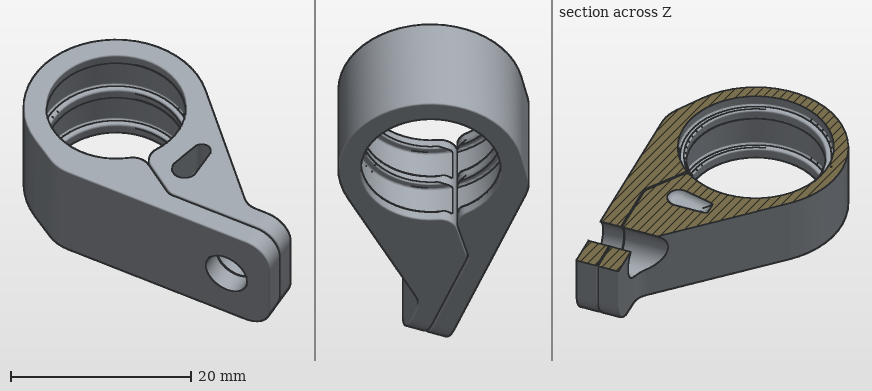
import cadquery as cq
import math

height = 12.7
ring_radius = 10.3
tab_end_x = 25.4
front_y = -11.3
jaw_thickness = 2.5
slit_width = 0.1
edge_fillet = 0.2

front_corner_radius = 5.0
rear_corner_radius = 2.5
rear_slope_angle = 47.0
tab_corner_radius = 3.0

bore_radius = 7.75
groove_radius = 8.65
groove_fillet = 0.25
lip_height = 1.15
rib_height = 0.87
lip_fillet = 0.25

slit_bend_x = 11.4
slit_angle = 35.0
slit_bend_radius = 1.5
slit_overrun = 1.0
mouth_radius = 2.0

screw_diameter = 5.2
screw_x = 19.95

pocket_depth = 5.0
pocket_floor_radius = 0.98
pocket_sweep_radius = 1.7
pocket_wide_radius = 1.4
pocket_wide_center = (11.15, -4.7)
pocket_narrow_radius = 1.0
pocket_narrow_center = (11.55, -1.4)

edge_reach = 0.4

slit_low_y = front_y + jaw_thickness
slit_mid_y = slit_low_y + slit_width / 2
rear_y = slit_low_y + slit_width + jaw_thickness


def polar(radius, degrees, center=(0, 0)):
    """Point at a given radius and angle about a centre."""
    angle = math.radians(degrees)
    return (center[0] + radius * math.cos(angle), center[1] + radius * math.sin(angle))


def upright_edges_near(x, y, reach):
    """Selector for upright edges passing within reach of (x, y) along both X and Y."""
    return cq.selectors.BoxSelector((x - reach, y - reach, 0), (x + reach, y + reach, height))


def make_body():
    """Ring that runs tangentially into the straight clamp tab."""
    corner_center = (0, front_y + front_corner_radius)
    tangent_angle = math.degrees(
        math.acos((ring_radius - front_corner_radius) / -corner_center[1])
    )
    front_normal = -90 - tangent_angle
    rear_normal = 90 - rear_slope_angle
    rear_tangent = polar(ring_radius, rear_normal)
    slope = math.tan(math.radians(rear_slope_angle))
    rear_corner_x = rear_tangent[0] + (rear_tangent[1] - rear_y) / slope
    body = (
        cq.Workplane("XY")
        .moveTo(*rear_tangent)
        .threePointArc((-ring_radius, 0), polar(ring_radius, front_normal))
        .lineTo(*polar(front_corner_radius, front_normal, corner_center))
        .threePointArc(
            polar(front_corner_radius, -90 - tangent_angle / 2, corner_center),
            (0, front_y),
        )
        .lineTo(tab_end_x, front_y)
        .lineTo(tab_end_x, rear_y)
        .lineTo(rear_corner_x, rear_y)
        .close()
        .extrude(height)
    )
    body = body.edges(upright_edges_near(rear_corner_x, rear_y, edge_reach)).fillet(rear_corner_radius)
    return body.faces(">X").edges("|Y").fillet(tab_corner_radius)


def make_slit():
    """Narrow cut from the tab end, bending up into the bore."""
    bend = math.radians(slit_angle)
    tangent_length = slit_bend_radius * math.tan(bend / 2)
    bend_start_x = slit_bend_x + tangent_length
    inner_y = slit_mid_y + slit_bend_radius
    path_end_x = bore_radius * math.sqrt(0.5)
    path_end_y = slit_mid_y + (slit_bend_x - path_end_x) * math.tan(bend)
    arc_center = (bend_start_x, inner_y)
    path = (
        cq.Workplane("XY")
        .moveTo(tab_end_x + slit_overrun, slit_mid_y)
        .lineTo(bend_start_x, slit_mid_y)
        .threePointArc(
            polar(slit_bend_radius, -90 - slit_angle / 2, arc_center),
            polar(slit_bend_radius, -90 - slit_angle, arc_center),
        )
        .lineTo(path_end_x, path_end_y)
    )
    return path.offset2D(slit_width / 2).extrude(height)


def slit_mouth():
    """Point where the angled slit centreline breaks into the bore."""
    bend = math.radians(slit_angle)
    offset = slit_bend_x * math.sin(bend) + slit_mid_y * math.cos(bend)
    return polar(bore_radius, 90 - slit_angle - math.degrees(math.acos(offset / bore_radius)))


def make_groove(bottom, top):
    """Ring cutter with rounded outer corners, flared at the bore to round the lips beside it."""
    flare_radius = bore_radius + lip_fillet
    floor = bottom + lip_fillet
    ceiling = top - lip_fillet
    bulge = lip_fillet * (1 - math.sqrt(0.5))
    ring = (
        cq.Workplane("XY", origin=(0, 0, floor))
        .circle(groove_radius)
        .extrude(ceiling - floor)
        .edges()
        .fillet(groove_fillet)
    )
    flared_core = (
        cq.Workplane("XZ")
        .moveTo(0, bottom)
        .lineTo(bore_radius, bottom)
        .threePointArc((bore_radius + bulge, floor - bulge), (flare_radius, floor))
        .lineTo(flare_radius, ceiling)
        .threePointArc((bore_radius + bulge, ceiling + bulge), (bore_radius, top))
        .lineTo(0, top)
        .close()
        .revolve(360, (0, 0, 0), (0, 1, 0))
    )
    return ring.union(flared_core)


def make_pocket():
    """Teardrop pocket with a rounded floor."""
    dx = pocket_narrow_center[0] - pocket_wide_center[0]
    dy = pocket_narrow_center[1] - pocket_wide_center[1]
    axis = math.degrees(math.atan2(dy, dx))
    spread = math.degrees(
        math.acos((pocket_wide_radius - pocket_narrow_radius) / math.hypot(dx, dy))
    )
    pocket = (
        cq.Workplane("XY", origin=(0, 0, height - pocket_depth))
        .moveTo(*polar(pocket_wide_radius, axis + spread, pocket_wide_center))
        .threePointArc(
            polar(pocket_wide_radius, axis + 180, pocket_wide_center),
            polar(pocket_wide_radius, axis - spread, pocket_wide_center),
        )
        .lineTo(*polar(pocket_narrow_radius, axis - spread, pocket_narrow_center))
        .threePointArc(
            polar(pocket_narrow_radius, axis, pocket_narrow_center),
            polar(pocket_narrow_radius, axis + spread, pocket_narrow_center),
        )
        .close()
        .extrude(pocket_depth)
    )
    pocket = pocket.faces("<Z").edges().fillet(pocket_floor_radius)

    pocket_length = math.hypot(dx, dy) + pocket_narrow_radius + pocket_wide_radius
    tip_y = pocket_narrow_center[1] + pocket_narrow_radius
    sweep_limit = (
        cq.Workplane("XY", origin=(pocket_wide_center[0], tip_y - pocket_length, height - pocket_depth))
        .rect(2 * pocket_length, 2 * pocket_length)
        .extrude(pocket_depth)
        .faces("<Z")
        .edges(">Y")
        .fillet(pocket_sweep_radius)
    )
    return pocket.intersect(sweep_limit)


def make_clamp():
    """Body with bore, slit and rounded mouth, then edge rounds, grooves and holes."""
    bore = cq.Workplane("XY").circle(bore_radius).extrude(height)
    clamp = make_body().cut(bore).cut(make_slit())
    mouth_edges = upright_edges_near(*slit_mouth(), edge_reach)
    clamp = clamp.edges("|Z").edges(mouth_edges).fillet(mouth_radius)
    clamp = clamp.faces("<Z or >Z").edges("not |Y").fillet(edge_fillet)

    groove_span = (height - rib_height) / 2 - lip_height
    for groove_bottom in (lip_height, height - lip_height - groove_span):
        clamp = clamp.cut(make_groove(groove_bottom, groove_bottom + groove_span))

    screw_hole = (
        cq.Workplane("XZ", origin=(screw_x, 0, height / 2))
        .circle(screw_diameter / 2)
        .extrude(-front_y, both=True)
    )
    return clamp.cut(screw_hole).cut(make_pocket())


result = make_clamp()